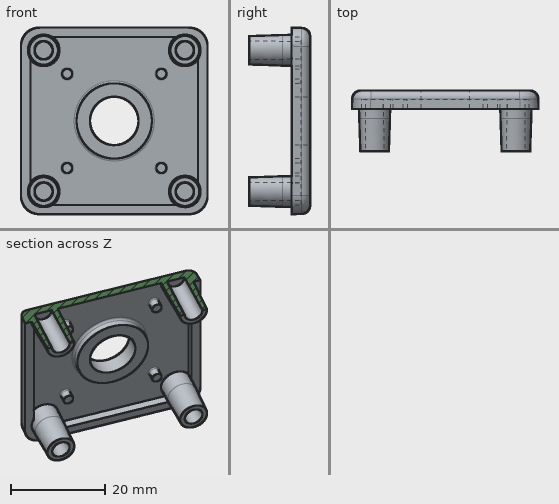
import cadquery as cq
import math

side = 39.7
thickness = 3.97
corner_radius = 3.97
back_round = 1.9
draft_angle = 1.5

rim_width = 2.02
recess_depth = 2.0
recess_side = side - 2 * rim_width
recess_corner_radius = corner_radius - rim_width

boss_diameter = 16.0
boss_height = 2.0
boss_base_round = 0.5
bore_diameter = 10.25

pin_spacing = 20.0
pin_diameter = 2.15
pin_height = 2.0
pin_base_round = 0.25

post_spacing = 30.0
post_length = 9.0
post_tip_diameter = 6.1
post_seam_diameter = 6.6
post_base_diameter = 6.75
post_seam_depth = 2.0
post_hole_diameter = 3.97
post_hole_floor_diameter = 3.77


def square_points(spacing):
    half = spacing / 2
    return [(x, z) for x in (-half, half) for z in (-half, half)]


def revolved(profile):
    """Turn a (radius, Y) profile about the Y axis."""
    return cq.Workplane("XY").polyline(profile).close().revolve(360, (0, 0), (0, 1))


def make_plate():
    plate = (
        cq.Workplane("XZ")
        .rect(side, side)
        .extrude(-thickness, taper=draft_angle)
        .edges("not(|X or |Z)")
        .fillet(corner_radius)
        .faces(">Y")
        .edges()
        .fillet(back_round)
    )
    recess = (
        cq.Workplane("XZ")
        .rect(recess_side, recess_side)
        .extrude(-recess_depth)
        .edges("|Y")
        .fillet(recess_corner_radius)
    )
    return plate.cut(recess)


def make_stub(diameter, height, base_round):
    """Cylinder standing on the recess floor, flared by a concave round at its foot."""
    radius = diameter / 2
    tip = recess_depth - height
    diagonal = base_round * (1 - math.sqrt(0.5))
    return (
        cq.Workplane("XY")
        .moveTo(0, recess_depth)
        .lineTo(radius + base_round, recess_depth)
        .threePointArc(
            (radius + diagonal, recess_depth - diagonal),
            (radius, recess_depth - base_round),
        )
        .lineTo(radius, tip)
        .lineTo(0, tip)
        .close()
        .revolve(360, (0, 0), (0, 1))
    )


def make_post():
    return revolved([
        (0, recess_depth),
        (post_base_diameter / 2, recess_depth),
        (post_seam_diameter / 2, -post_seam_depth),
        (post_tip_diameter / 2, -post_length),
        (0, -post_length),
    ])


def make_post_hole():
    """Slightly tapered blind hole ending level with the recess floor."""
    return revolved([
        (0, recess_depth),
        (post_hole_floor_diameter / 2, recess_depth),
        (post_hole_diameter / 2, -post_length),
        (0, -post_length),
    ])


result = make_plate()

result = result.union(make_stub(boss_diameter, boss_height, boss_base_round))
bore = cq.Workplane("XZ").circle(bore_diameter / 2).extrude(-thickness, both=True)
result = result.cut(bore)

pin = make_stub(pin_diameter, pin_height, pin_base_round)
for x, z in square_points(pin_spacing):
    result = result.union(pin.translate((x, 0, z)))

post = make_post()
post_hole = make_post_hole()
for x, z in square_points(post_spacing):
    result = result.union(post.translate((x, 0, z)))
    result = result.cut(post_hole.translate((x, 0, z)))